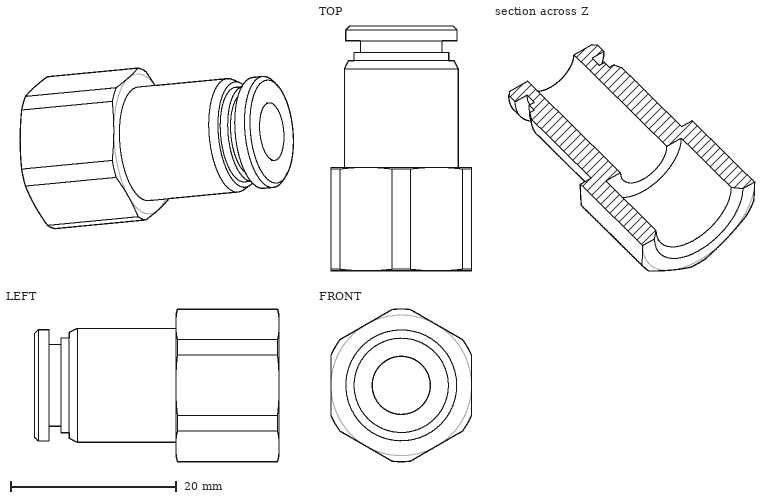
import math

import cadquery as cq

hex_across_flats = 17.0
hex_corner_diameter = 18.5
hex_length = 12.5
hex_chamfer_angle = 15.0

body_diameter = 13.8
body_end_y = 25.4
body_chamfer_length = 1.0
body_chamfer_depth = 0.5

collar_diameter = 11.5
collar_length = 1.0
neck_diameter = 9.9
neck_length = 1.4
flange_diameter = 13.5
flange_chamfer = 0.5
total_length = 29.6

tube_bore_diameter = 7.0
socket_diameter = 11.4
socket_mouth_diameter = 13.4
socket_depth = 11.0


def revolve_about_y(profile):
    """Full turn about the Y axis of a closed (radius, y) profile."""
    return cq.Workplane("XY").polyline(profile).close().revolve(360, (0, 0, 0), (0, 1, 0))


def make_hexagon():
    """Hexagonal prism with flats on +-X, corners rounded and both ends chamfered."""
    corner_radius = hex_corner_diameter / 2
    flat_radius = hex_across_flats / 2
    chamfer_length = (corner_radius - flat_radius) * math.tan(math.radians(hex_chamfer_angle))
    prism = (
        cq.Workplane("XZ")
        .transformed(rotate=(0, 0, 90))
        .polygon(6, hex_across_flats / math.cos(math.pi / 6))
        .extrude(-hex_length)
    )
    envelope = revolve_about_y([
        (0, 0),
        (flat_radius, 0),
        (corner_radius, chamfer_length),
        (corner_radius, hex_length - chamfer_length),
        (flat_radius, hex_length),
        (0, hex_length),
    ])
    return prism.intersect(envelope)


def make_stem():
    """Body, collar, neck and flange as one turned piece."""
    body_radius = body_diameter / 2
    collar_radius = collar_diameter / 2
    neck_radius = neck_diameter / 2
    flange_radius = flange_diameter / 2
    collar_end_y = body_end_y + collar_length
    neck_end_y = collar_end_y + neck_length
    return revolve_about_y([
        (0, 0),
        (body_radius, 0),
        (body_radius, body_end_y - body_chamfer_length),
        (body_radius - body_chamfer_depth, body_end_y),
        (collar_radius, body_end_y),
        (collar_radius, collar_end_y),
        (neck_radius, collar_end_y),
        (neck_radius, neck_end_y),
        (flange_radius, neck_end_y),
        (flange_radius, total_length - flange_chamfer),
        (flange_radius - flange_chamfer, total_length),
        (0, total_length),
    ])


def make_bore():
    """Stepped bore: countersunk socket, then the tube hole through the far end."""
    tube_radius = tube_bore_diameter / 2
    socket_radius = socket_diameter / 2
    mouth_radius = socket_mouth_diameter / 2
    mouth_depth = mouth_radius - socket_radius
    return revolve_about_y([
        (0, 0),
        (mouth_radius, 0),
        (socket_radius, mouth_depth),
        (socket_radius, socket_depth),
        (tube_radius, socket_depth),
        (tube_radius, total_length),
        (0, total_length),
    ])


result = make_hexagon().union(make_stem()).cut(make_bore())